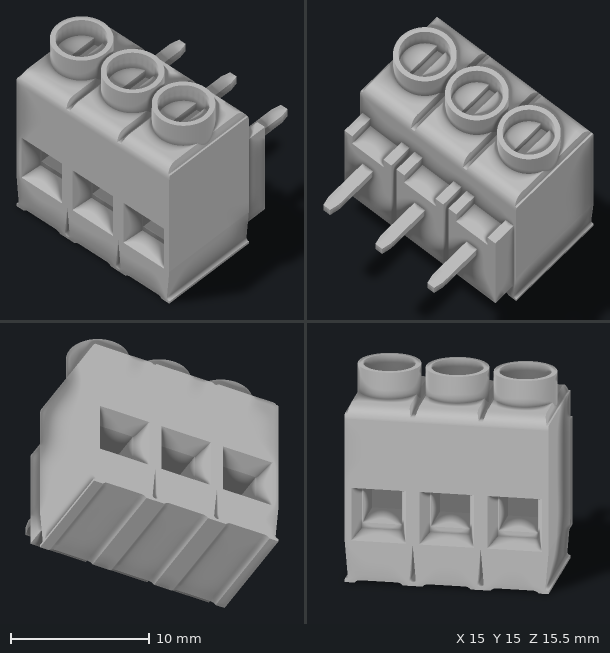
import cadquery as cq
import math

CELL_COUNT = 3
WIDTH = 15.0
TOTAL_DEPTH = 15.0
HEIGHT = 15.45
PITCH = WIDTH / CELL_COUNT

BODY_DEPTH = 8.5
BODY_HEIGHT = 13.44
TOP_EDGE_RADIUS = 1.0

GROOVE_DEPTH = 0.63
GROOVE_FLOOR_WIDTH = 0.31
GROOVE_TOP_WIDTH = 0.7

SLOT_PEAK_Z = 3.18
SLOT_FOOT_RADIUS = 0.23
SLOT_FOOT_Z = 0.45

RELIEF_WIDTH = 3.55
RELIEF_HEIGHT = 0.2
RELIEF_ARC_LENGTH = 0.43

FUNNEL_SIZE = 4.0
FUNNEL_INSET = 0.5
FUNNEL_DEPTH = 1.5
FUNNEL_CENTER_Z = 5.19
POCKET_WIDTH = 2.86
POCKET_FLOOR_STEP = 0.43
POCKET_DEPTH = 3.5

COLLAR_DIAMETER = 4.6
BORE_TOP_DIAMETER = 3.82
BORE_FLOOR_DIAMETER = 3.71
BORE_DEPTH = 1.5
SCREW_SLOT_WIDTH = 0.82
SCREW_SLOT_DEPTH = 0.7

PAD_WIDTH = 4.51
PAD_DEPTH = 2.0
PAD_BOTTOM_Z = 1.88
PAD_TOP_Z = 10.14
PAD_RECESS_WIDTH = 3.0
PAD_RECESS_DEPTH = 1.0

PIN_WIDTH = 1.0
PIN_THICKNESS = 0.7
PIN_CENTER_Z = 7.1
PIN_TIP_WIDTH = 0.65
PIN_TIP_LENGTH = 0.77
PIN_LENGTH = TOTAL_DEPTH - BODY_DEPTH - PAD_DEPTH

CELL_CENTERS = [(i - (CELL_COUNT - 1) / 2) * PITCH for i in range(CELL_COUNT)]
CELL_BOUNDARIES = [(i - CELL_COUNT / 2) * PITCH for i in range(CELL_COUNT + 1)]
BODY_CENTER_Y = BODY_DEPTH / 2
PAD_BACK_Y = BODY_DEPTH + PAD_DEPTH


def through_body(profile):
    """Extrude an XZ outline from the front face to the back face of the body."""
    return profile.extrude(-BODY_DEPTH)


def box_between(x_center, width, y_range, z_range):
    """Box centred on x_center, filling the given Y and Z ranges."""
    corner = (x_center - width / 2, y_range[0], z_range[0])
    size = (width, y_range[1] - y_range[0], z_range[1] - z_range[0])
    return cq.Workplane("XY").box(*size, centered=False).translate(corner)


def body_block():
    block = box_between(0, WIDTH, (0, BODY_DEPTH), (0, BODY_HEIGHT))
    return block.edges("|X and >Z").fillet(TOP_EDGE_RADIUS)


def top_groove(x):
    floor_z = BODY_HEIGHT - GROOVE_DEPTH
    return through_body(
        cq.Workplane("XZ")
        .moveTo(x - GROOVE_FLOOR_WIDTH / 2, floor_z)
        .lineTo(x + GROOVE_FLOOR_WIDTH / 2, floor_z)
        .lineTo(x + GROOVE_TOP_WIDTH / 2, BODY_HEIGHT)
        .lineTo(x - GROOVE_TOP_WIDTH / 2, BODY_HEIGHT)
        .close()
    )


def boundary_slot(x):
    return through_body(
        cq.Workplane("XZ")
        .moveTo(x, SLOT_PEAK_Z)
        .lineTo(x - SLOT_FOOT_RADIUS, SLOT_FOOT_Z)
        .threePointArc((x, SLOT_FOOT_Z - SLOT_FOOT_RADIUS), (x + SLOT_FOOT_RADIUS, SLOT_FOOT_Z))
        .close()
    )


def underside_relief(x):
    """Low trough that opens downward, with ends rising as arcs tangent to its flat roof."""
    run = RELIEF_ARC_LENGTH
    arc_radius = (run**2 + RELIEF_HEIGHT**2) / (2 * RELIEF_HEIGHT)
    arc_middle_x = run / 2
    arc_middle_z = RELIEF_HEIGHT - arc_radius + math.sqrt(arc_radius**2 - arc_middle_x**2)
    half = RELIEF_WIDTH / 2
    roof_half = half - run
    return through_body(
        cq.Workplane("XZ")
        .moveTo(x - half, 0)
        .threePointArc((x - roof_half - arc_middle_x, arc_middle_z), (x - roof_half, RELIEF_HEIGHT))
        .lineTo(x + roof_half, RELIEF_HEIGHT)
        .threePointArc((x + roof_half + arc_middle_x, arc_middle_z), (x + half, 0))
        .close()
    )


def wire_entry(x):
    inner_size = FUNNEL_SIZE - 2 * FUNNEL_INSET
    funnel = (
        cq.Workplane("XZ", origin=(x, 0, FUNNEL_CENTER_Z))
        .rect(FUNNEL_SIZE, FUNNEL_SIZE)
        .workplane(offset=-FUNNEL_DEPTH)
        .rect(inner_size, inner_size)
        .loft(ruled=True)
    )
    pocket_z = (
        FUNNEL_CENTER_Z - inner_size / 2 + POCKET_FLOOR_STEP,
        FUNNEL_CENTER_Z + inner_size / 2,
    )
    pocket = box_between(x, POCKET_WIDTH, (FUNNEL_DEPTH, FUNNEL_DEPTH + POCKET_DEPTH), pocket_z)
    return funnel.union(pocket)


def collar(x):
    base_z = BODY_HEIGHT - GROOVE_DEPTH
    return (
        cq.Workplane("XY", origin=(x, BODY_CENTER_Y, base_z))
        .circle(COLLAR_DIAMETER / 2)
        .extrude(HEIGHT - base_z)
    )


def screw_recess(x):
    """Slightly conical bore down to the screw head, with the driver slot along Y."""
    floor_z = HEIGHT - BORE_DEPTH
    bore = (
        cq.Workplane("XY", origin=(x, BODY_CENTER_Y, floor_z))
        .circle(BORE_FLOOR_DIAMETER / 2)
        .workplane(offset=BORE_DEPTH)
        .circle(BORE_TOP_DIAMETER / 2)
        .loft()
    )
    slot_bottom = cq.Workplane("XY", origin=(x, BODY_CENTER_Y, floor_z - SCREW_SLOT_DEPTH))
    head = slot_bottom.circle(BORE_FLOOR_DIAMETER / 2).extrude(SCREW_SLOT_DEPTH)
    slot = slot_bottom.rect(SCREW_SLOT_WIDTH, BORE_FLOOR_DIAMETER).extrude(SCREW_SLOT_DEPTH)
    return bore.union(head.intersect(slot))


def back_pad(x):
    y_range = (BODY_DEPTH, PAD_BACK_Y)
    pad = box_between(x, PAD_WIDTH, y_range, (PAD_BOTTOM_Z, PAD_TOP_Z))
    recess_z = (PAD_TOP_Z - PAD_RECESS_DEPTH, PAD_TOP_Z)
    return pad.cut(box_between(x, PAD_RECESS_WIDTH, y_range, recess_z))


def contact_pin(x):
    shank_end = PIN_LENGTH - PIN_TIP_LENGTH
    return (
        cq.Workplane("XY", origin=(x, PAD_BACK_Y, PIN_CENTER_Z - PIN_THICKNESS / 2))
        .moveTo(-PIN_WIDTH / 2, 0)
        .lineTo(-PIN_WIDTH / 2, shank_end)
        .lineTo(-PIN_TIP_WIDTH / 2, PIN_LENGTH)
        .lineTo(PIN_TIP_WIDTH / 2, PIN_LENGTH)
        .lineTo(PIN_WIDTH / 2, shank_end)
        .lineTo(PIN_WIDTH / 2, 0)
        .close()
        .extrude(PIN_THICKNESS)
    )


result = body_block()
for boundary_x in CELL_BOUNDARIES:
    result = result.cut(top_groove(boundary_x)).cut(boundary_slot(boundary_x))
for cell_x in CELL_CENTERS:
    result = result.cut(underside_relief(cell_x)).cut(wire_entry(cell_x))
    result = result.union(collar(cell_x)).cut(screw_recess(cell_x))
    result = result.union(back_pad(cell_x)).union(contact_pin(cell_x))